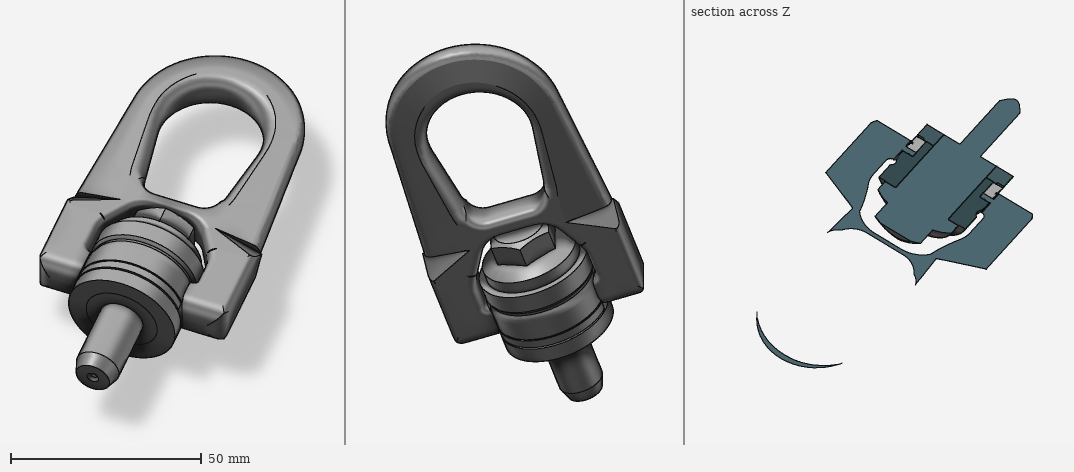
import cadquery as cq
import math


SHANK_RADIUS = 6.0
SHANK_LENGTH = 21.0
TIP_LENGTH = 3.6
TIP_RADIUS = 4.7
CENTRE_MOUTH_RADIUS = 1.6
CENTRE_DRILL_RADIUS = 0.8
CENTRE_CONE_DEPTH = 0.8
CENTRE_DRILL_DEPTH = 2.0
SHOULDER_RADIUS = 10.0
HEAD_FLANGE_RADIUS = 13.0
HEAD_FLANGE_TOP = 24.6
DOME_MID = (11.1, 25.8)
DOME_END = (8.5, 26.7)
HEX_ACROSS_FLATS = 16.0
HEX_CORNER_RADIUS = HEX_ACROSS_FLATS / math.sqrt(3)
HEX_CHAMFER_START = 31.9
HEX_TOP = 33.0
HEX_TOP_RADIUS = 6.9

BODY_RADIUS = 15.0
WASHER_THICKNESS = 4.2
WASHER_HUB_RADIUS = 13.0
BODY_BOTTOM = 4.7
NARROW_GROOVE_BOTTOM = 6.9
NARROW_GROOVE_TOP = 7.3
NARROW_GROOVE_DEPTH = 0.5
SHOULDER_CURVE_START = 12.4
WAIST_BOTTOM = 14.7
WAIST_TOP = 15.4
WAIST_RADIUS = 14.3
WAIST_CURVE_MID = (14.82, 13.55)
COLLAR_EDGE = 16.3
BODY_TOP = 21.3

TRUNNION_RADIUS = 5.0
TRUNNION_Y = 9.8
TRUNNION_INNER_X = 11.0
TRUNNION_ROOT_X = 16.5

OVERALL_LENGTH = 112.5
ARM_HALF_WIDTH = 26.5
ARM_HALF_THICKNESS = 6.0
ARM_BOTTOM = TRUNNION_Y - TRUNNION_RADIUS
ARM_BOTTOM_ROUND = 5.1
ARM_CORNER_ROUND = ARM_BOTTOM_ROUND
ARM_SIDE_ROUND = 2.0
ARM_FLAT_TOP = 26.6
ARM_TOP = 33.5
FACET_END_Y = 27.2
BODY_CLEARANCE = 0.2

LOOP_TOP = OVERALL_LENGTH - SHANK_LENGTH
LOOP_HALF_THICKNESS = 5.0
LOOP_RADIUS = 23.5
LOOP_CENTRE_Y = LOOP_TOP - LOOP_RADIUS
LOOP_FOOT_X = 26.0
RIM_HALF_THICKNESS = 2.6
RIM_ROUND = 2.8
CREST_RADIUS = 15.5
CREST_FOOT_X = 13.4
BRIDGE_BOTTOM = 34.5
BRIDGE_TOP = 39.6
BRIDGE_RIDGE = 0.2
OPENING_ROUND = (BRIDGE_TOP - BRIDGE_BOTTOM - BRIDGE_RIDGE) / 2

EYE_RADIUS = 14.0
EYE_TOP = 78.4
EYE_CENTRE_Y = EYE_TOP - EYE_RADIUS
EYE_FOOT_X = 10.2
EYE_CORNER_ROUND = 5.0
EYE_SIDE_FLARE = 4.4
EYE_SIDE_FOOT_Y = 44.0
EYE_SIDE_CORNER_ROUND = 2.0
WINDOW_HALF_WIDTH = 15.35
WINDOW_BOTTOM = 14.9
WINDOW_BOTTOM_ROUND = 0.8
WINDOW_BEND_Y = 23.2
WINDOW_BEND_ROUND = 6.6
WINDOW_TOP_HALF_WIDTH = 8.7
WINDOW_TOP_ROUND = 7.5

REACH = 100.0
MARGIN = 0.1


def revolved(profile):
    """Close an XY profile and turn it about the Y axis."""
    return profile.close().revolve(360, (0, 0, 0), (0, 1, 0))


def rod_along_y(radius, y_start, y_end):
    return cq.Workplane("XZ", origin=(0, y_start, 0)).circle(radius).extrude(y_start - y_end)


def tangent_point(foot_x, foot_y, radius, centre_y):
    """Right-hand point where a line from the foot touches a circle centred on the Y axis."""
    drop = centre_y - foot_y
    distance = math.hypot(foot_x, drop)
    angle = math.atan2(-drop, foot_x) + math.acos(radius / distance)
    return radius * math.cos(angle), centre_y + radius * math.sin(angle)


def arched_outline(foot_x, foot_y, radius, centre_y, z=0.0):
    """Straight foot, two sides tangent to an arch, symmetric about the Y axis."""
    touch_x, touch_y = tangent_point(foot_x, foot_y, radius, centre_y)
    return (
        cq.Workplane("XY", origin=(0, 0, z))
        .moveTo(-foot_x, foot_y)
        .lineTo(foot_x, foot_y)
        .lineTo(touch_x, touch_y)
        .threePointArc((0, centre_y + radius), (-touch_x, touch_y))
        .close()
    )


def round_edges_at(solid, points, radius):
    """Round the Z-parallel edges that stand at the given XY points."""
    for x, y in points:
        near = cq.selectors.NearestToPointSelector((x, y, 0))
        solid = solid.edges("|Z").edges(near).fillet(radius)
    return solid


def mirrored(points):
    return [(side * x, y) for x, y in points for side in (1, -1)]


def make_bolt():
    profile = (
        cq.Workplane("XY")
        .moveTo(0, CENTRE_DRILL_DEPTH - SHANK_LENGTH)
        .lineTo(CENTRE_DRILL_RADIUS, CENTRE_DRILL_DEPTH - SHANK_LENGTH)
        .lineTo(CENTRE_DRILL_RADIUS, CENTRE_CONE_DEPTH - SHANK_LENGTH)
        .lineTo(CENTRE_MOUTH_RADIUS, -SHANK_LENGTH)
        .lineTo(TIP_RADIUS, -SHANK_LENGTH)
        .lineTo(SHANK_RADIUS, TIP_LENGTH - SHANK_LENGTH)
        .lineTo(SHANK_RADIUS, 0)
        .lineTo(SHOULDER_RADIUS, 0)
        .lineTo(SHOULDER_RADIUS, BODY_TOP)
        .lineTo(HEAD_FLANGE_RADIUS, BODY_TOP)
        .lineTo(HEAD_FLANGE_RADIUS, HEAD_FLANGE_TOP)
        .threePointArc(DOME_MID, DOME_END)
        .lineTo(0, DOME_END[1])
    )
    hexagon = (
        cq.Workplane("XZ", origin=(0, HEAD_FLANGE_TOP, 0))
        .polygon(6, 2 * HEX_CORNER_RADIUS)
        .extrude(HEAD_FLANGE_TOP - HEX_TOP)
        .rotate((0, 0, 0), (0, 1, 0), 30)
    )
    chamfer_envelope = revolved(
        cq.Workplane("XY")
        .moveTo(0, HEAD_FLANGE_TOP)
        .lineTo(HEX_CORNER_RADIUS, HEAD_FLANGE_TOP)
        .lineTo(HEX_CORNER_RADIUS, HEX_CHAMFER_START)
        .lineTo(HEX_TOP_RADIUS, HEX_TOP)
        .lineTo(0, HEX_TOP)
    )
    return revolved(profile).union(hexagon.intersect(chamfer_envelope))


def make_washer():
    return revolved(
        cq.Workplane("XY")
        .moveTo(SHOULDER_RADIUS, 0)
        .lineTo(BODY_RADIUS, 0)
        .lineTo(BODY_RADIUS, WASHER_THICKNESS)
        .lineTo(WASHER_HUB_RADIUS, WASHER_THICKNESS)
        .lineTo(WASHER_HUB_RADIUS, BODY_BOTTOM)
        .lineTo(SHOULDER_RADIUS, BODY_BOTTOM)
    )


def make_swivel_body():
    groove_radius = BODY_RADIUS - NARROW_GROOVE_DEPTH
    body = revolved(
        cq.Workplane("XY")
        .moveTo(SHOULDER_RADIUS, BODY_BOTTOM)
        .lineTo(BODY_RADIUS, BODY_BOTTOM)
        .lineTo(BODY_RADIUS, NARROW_GROOVE_BOTTOM)
        .lineTo(groove_radius, NARROW_GROOVE_BOTTOM)
        .lineTo(groove_radius, NARROW_GROOVE_TOP)
        .lineTo(BODY_RADIUS, NARROW_GROOVE_TOP)
        .lineTo(BODY_RADIUS, SHOULDER_CURVE_START)
        .threePointArc(WAIST_CURVE_MID, (WAIST_RADIUS, WAIST_BOTTOM))
        .lineTo(WAIST_RADIUS, WAIST_TOP)
        .lineTo(BODY_RADIUS, COLLAR_EDGE)
        .lineTo(BODY_RADIUS, BODY_TOP)
        .lineTo(SHOULDER_RADIUS, BODY_TOP)
    )
    for side in (1, -1):
        slot = (
            cq.Workplane("YZ", origin=(side * TRUNNION_INNER_X, 0, 0))
            .moveTo(0, -TRUNNION_RADIUS)
            .lineTo(TRUNNION_Y, -TRUNNION_RADIUS)
            .threePointArc((TRUNNION_Y + TRUNNION_RADIUS, 0), (TRUNNION_Y, TRUNNION_RADIUS))
            .lineTo(0, TRUNNION_RADIUS)
            .close()
            .extrude(side * BODY_RADIUS)
        )
        body = body.cut(slot)
    return body


def make_loop():
    """Loop whose faces slope from a thick inner crest to a thin rounded outer rim."""
    rim_plate = arched_outline(LOOP_FOOT_X, ARM_TOP, LOOP_RADIUS, LOOP_CENTRE_Y, -RIM_HALF_THICKNESS)
    loop = rim_plate.extrude(2 * RIM_HALF_THICKNESS)
    rim = arched_outline(LOOP_FOOT_X, ARM_TOP, LOOP_RADIUS, LOOP_CENTRE_Y, RIM_HALF_THICKNESS)
    crest = arched_outline(CREST_FOOT_X, ARM_TOP, CREST_RADIUS, LOOP_CENTRE_Y, LOOP_HALF_THICKNESS)
    wires = [outline.val() for outline in (rim, crest)]
    slope = cq.Workplane(obj=cq.Solid.makeLoft(wires, True))
    loop = loop.union(slope).union(slope.mirror("XY"))
    arch_edges = cq.selectors.BoxSelector(
        (-REACH, ARM_TOP + MARGIN, -RIM_HALF_THICKNESS - MARGIN),
        (REACH, REACH, RIM_HALF_THICKNESS + MARGIN),
    )
    return loop.edges(arch_edges).fillet(RIM_ROUND)


def make_arm_block():
    """Thick block of both arms, thinned and faceted where it runs into the loop."""
    rounding = ARM_BOTTOM_ROUND
    diagonal = rounding * (1 - math.sqrt(0.5))
    flat = ARM_HALF_THICKNESS - rounding
    block = (
        cq.Workplane("YZ", origin=(-ARM_HALF_WIDTH, 0, 0))
        .moveTo(ARM_BOTTOM, -flat)
        .lineTo(ARM_BOTTOM, flat)
        .threePointArc(
            (ARM_BOTTOM + diagonal, ARM_HALF_THICKNESS - diagonal),
            (ARM_BOTTOM + rounding, ARM_HALF_THICKNESS),
        )
        .lineTo(ARM_FLAT_TOP, ARM_HALF_THICKNESS)
        .lineTo(ARM_TOP, LOOP_HALF_THICKNESS)
        .lineTo(ARM_TOP, -LOOP_HALF_THICKNESS)
        .lineTo(ARM_FLAT_TOP, -ARM_HALF_THICKNESS)
        .lineTo(ARM_BOTTOM + rounding, -ARM_HALF_THICKNESS)
        .threePointArc(
            (ARM_BOTTOM + diagonal, diagonal - ARM_HALF_THICKNESS),
            (ARM_BOTTOM, -flat),
        )
        .close()
        .extrude(2 * ARM_HALF_WIDTH)
    )
    side_envelope = (
        cq.Workplane("XZ")
        .rect(2 * ARM_HALF_WIDTH, 2 * ARM_HALF_THICKNESS)
        .extrude(-REACH)
        .edges("|Y")
        .fillet(ARM_SIDE_ROUND)
    )
    plan_envelope = (
        cq.Workplane("XY")
        .rect(2 * ARM_HALF_WIDTH, REACH)
        .extrude(ARM_HALF_THICKNESS, both=True)
        .edges("|Z")
        .fillet(ARM_CORNER_ROUND)
        .translate((0, ARM_BOTTOM + REACH / 2, 0))
    )
    block = block.intersect(side_envelope).intersect(plan_envelope)

    crest_point = cq.Vector(CREST_FOOT_X, ARM_TOP, LOOP_HALF_THICKNESS)
    apex = cq.Vector(ARM_HALF_WIDTH, ARM_TOP, 0)
    side_point = cq.Vector(ARM_HALF_WIDTH, FACET_END_Y, ARM_HALF_THICKNESS)
    normal = (crest_point - apex).cross(side_point - apex)
    facet_plane = cq.Plane(origin=apex, xDir=crest_point - apex, normal=normal)
    corner = cq.Workplane(facet_plane).rect(REACH, REACH).extrude(REACH)
    for upper in (corner, corner.mirror("XY")):
        block = block.cut(upper).cut(upper.mirror("YZ"))
    return block


def flared_cutter(plug, flare):
    """Add rounded flares to an opening's plug, following the upper and lower faces of the link."""
    cover = (
        cq.Workplane("YZ", origin=(-REACH, 0, 0))
        .moveTo(-REACH, ARM_HALF_THICKNESS)
        .lineTo(ARM_FLAT_TOP, ARM_HALF_THICKNESS)
        .lineTo(ARM_TOP, LOOP_HALF_THICKNESS)
        .lineTo(2 * REACH, LOOP_HALF_THICKNESS)
        .lineTo(2 * REACH, 2 * ARM_HALF_THICKNESS)
        .lineTo(-REACH, 2 * ARM_HALF_THICKNESS)
        .close()
        .extrude(2 * REACH)
    )
    junction = cq.selectors.BoxSelector(
        (-REACH / 2, 0, LOOP_HALF_THICKNESS - MARGIN),
        (REACH / 2, REACH, ARM_HALF_THICKNESS + MARGIN),
    )
    joined = cover.union(plug)
    flared = joined.edges(junction).fillet(flare)
    return flared.union(flared.mirror("XY"))


def make_eye_cutters():
    """Eye with a small flare along the bridge and a large one around the arch and its sides."""
    eye = arched_outline(EYE_FOOT_X, BRIDGE_TOP, EYE_RADIUS, EYE_CENTRE_Y).extrude(ARM_HALF_THICKNESS)
    eye = round_edges_at(eye, mirrored([(EYE_FOOT_X, BRIDGE_TOP)]), EYE_CORNER_ROUND)

    touch_x, touch_y = tangent_point(EYE_FOOT_X, BRIDGE_TOP, EYE_RADIUS, EYE_CENTRE_Y)
    side_slope = (touch_x - EYE_FOOT_X) / (touch_y - BRIDGE_TOP)
    side_foot_x = EYE_FOOT_X + side_slope * (EYE_SIDE_FOOT_Y - BRIDGE_TOP)
    arch = arched_outline(side_foot_x, EYE_SIDE_FOOT_Y, EYE_RADIUS, EYE_CENTRE_Y).extrude(ARM_HALF_THICKNESS)
    arch = round_edges_at(arch, mirrored([(side_foot_x, EYE_SIDE_FOOT_Y)]), EYE_SIDE_CORNER_ROUND)
    return flared_cutter(eye, OPENING_ROUND), flared_cutter(arch, EYE_SIDE_FLARE)


def make_window_cutter():
    right_side = [
        (WINDOW_HALF_WIDTH, WINDOW_BOTTOM),
        (WINDOW_HALF_WIDTH, WINDOW_BEND_Y),
        (WINDOW_TOP_HALF_WIDTH, BRIDGE_BOTTOM),
    ]
    left_side = [(-x, y) for x, y in reversed(right_side)]
    window = cq.Workplane("XY").polyline(right_side + left_side).close().extrude(ARM_HALF_THICKNESS)
    for corner, radius in zip(right_side, (WINDOW_BOTTOM_ROUND, WINDOW_BEND_ROUND, WINDOW_TOP_ROUND)):
        window = round_edges_at(window, mirrored([corner]), radius)
    return flared_cutter(window, OPENING_ROUND)


def make_link():
    link = make_arm_block().union(make_loop())
    for cutter in (*make_eye_cutters(), make_window_cutter()):
        link = link.cut(cutter)
    link = link.cut(rod_along_y(BODY_RADIUS + BODY_CLEARANCE, 0, BODY_TOP))
    for side in (1, -1):
        trunnion = (
            cq.Workplane("YZ", origin=(side * TRUNNION_INNER_X, 0, 0))
            .center(TRUNNION_Y, 0)
            .circle(TRUNNION_RADIUS)
            .extrude(side * (TRUNNION_ROOT_X - TRUNNION_INNER_X))
        )
        link = link.union(trunnion)
    return link


bolt = make_bolt()
washer = make_washer()
swivel_body = make_swivel_body()
link = make_link()

result = cq.Compound.makeCompound([bolt.val(), washer.val(), swivel_body.val(), link.val()])